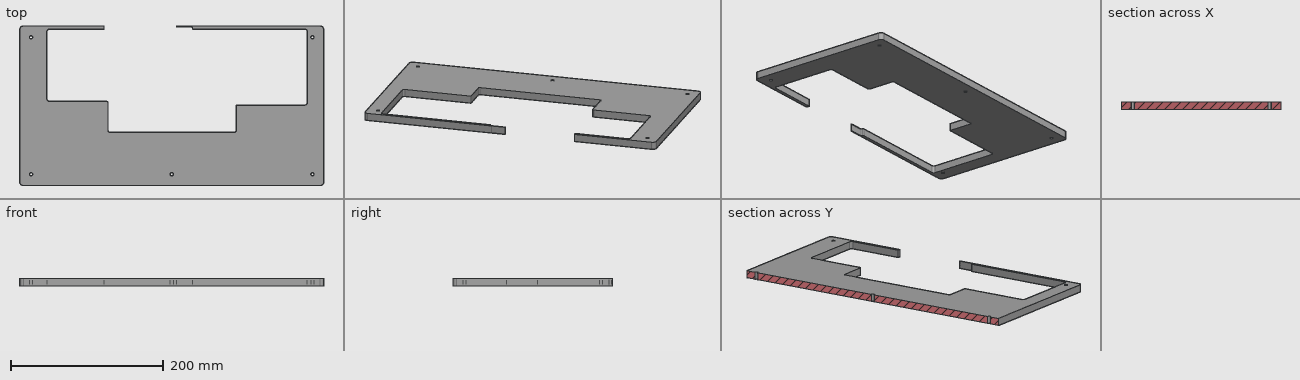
import cadquery as cq

LENGTH = 400.0
WIDTH = 210.0
THICKNESS = 10.0
OUTER_RADIUS = 5.0

HOLE_DIAMETER = 4.0
HOLE_INSET = 15.0

LEFT_WALL_X = -164.0
RIGHT_WALL_X = 178.0
WELL_LEFT_X = -83.5
WELL_RIGHT_X = 84.5

LEFT_FLOOR_Y = 6.0
RIGHT_FLOOR_Y = 1.0
WELL_FLOOR_Y = -34.5

RAIL_DEPTH = 4.5
LIP_DEPTH = 1.5
LEFT_RAIL_END_X = -89.0
LIP_END_X = 6.0
LIP_ROOT_X = 27.0

POCKET_RADIUS = 3.0
WELL_RADIUS = 1.5
LEFT_STEP_RADIUS = 2.5
RIGHT_STEP_RADIUS = 1.0
LIP_ROOT_RADIUS = 1.4

REAR_Y = WIDTH / 2
RAIL_INNER_Y = REAR_Y - RAIL_DEPTH
LIP_INNER_Y = REAR_Y - LIP_DEPTH


def make_plate():
    """Rectangular plate with rounded vertical corners."""
    plate = cq.Workplane("XY").box(LENGTH, WIDTH, THICKNESS, centered=(True, True, False))
    return plate.edges("|Z").fillet(OUTER_RADIUS)


def round_corners(body, corners, radius):
    """Fillet the vertical edges standing at the given (x, y) corners."""
    for x, y in corners:
        edge = cq.selectors.NearestToPointSelector((x, y, THICKNESS / 2))
        body = body.edges("|Z").edges(edge).fillet(radius)
    return body


def make_opening():
    """Stepped opening that breaks out through the rear edge between the rails."""
    outline = [
        (LEFT_RAIL_END_X, REAR_Y),
        (LEFT_RAIL_END_X, RAIL_INNER_Y),
        (LEFT_WALL_X, RAIL_INNER_Y),
        (LEFT_WALL_X, LEFT_FLOOR_Y),
        (WELL_LEFT_X, LEFT_FLOOR_Y),
        (WELL_LEFT_X, WELL_FLOOR_Y),
        (WELL_RIGHT_X, WELL_FLOOR_Y),
        (WELL_RIGHT_X, RIGHT_FLOOR_Y),
        (RIGHT_WALL_X, RIGHT_FLOOR_Y),
        (RIGHT_WALL_X, RAIL_INNER_Y),
        (LIP_ROOT_X, RAIL_INNER_Y),
        (LIP_ROOT_X, LIP_INNER_Y),
        (LIP_END_X, LIP_INNER_Y),
        (LIP_END_X, REAR_Y),
    ]
    opening = cq.Workplane("XY").polyline(outline).close().extrude(THICKNESS)

    pocket_corners = [
        (LEFT_WALL_X, RAIL_INNER_Y),
        (LEFT_WALL_X, LEFT_FLOOR_Y),
        (RIGHT_WALL_X, RIGHT_FLOOR_Y),
        (RIGHT_WALL_X, RAIL_INNER_Y),
    ]
    well_corners = [(WELL_LEFT_X, WELL_FLOOR_Y), (WELL_RIGHT_X, WELL_FLOOR_Y)]
    lip_root_corners = [(LIP_ROOT_X, RAIL_INNER_Y), (LIP_ROOT_X, LIP_INNER_Y)]

    opening = round_corners(opening, pocket_corners, POCKET_RADIUS)
    opening = round_corners(opening, well_corners, WELL_RADIUS)
    opening = round_corners(opening, [(WELL_LEFT_X, LEFT_FLOOR_Y)], LEFT_STEP_RADIUS)
    opening = round_corners(opening, [(WELL_RIGHT_X, RIGHT_FLOOR_Y)], RIGHT_STEP_RADIUS)
    return round_corners(opening, lip_root_corners, LIP_ROOT_RADIUS)


def make_holes():
    """Through holes near the four corners and at the middle of the front edge."""
    hole_x = LENGTH / 2 - HOLE_INSET
    hole_y = WIDTH / 2 - HOLE_INSET
    centres = [
        (-hole_x, hole_y),
        (hole_x, hole_y),
        (-hole_x, -hole_y),
        (0, -hole_y),
        (hole_x, -hole_y),
    ]
    return cq.Workplane("XY").pushPoints(centres).circle(HOLE_DIAMETER / 2).extrude(THICKNESS)


result = make_plate().cut(make_opening()).cut(make_holes())